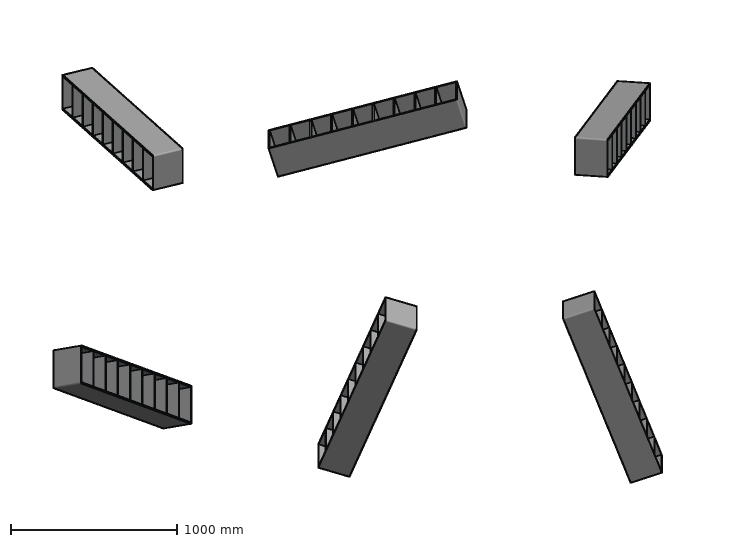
import cadquery as cq

length = 1185.0
depth = 200.0
height = 238.0

wall = 10.0
corner_radius = wall
cell_count = 9

cell_width = (length - (cell_count + 1) * wall) / cell_count
cell_height = height - 2 * wall
cell_pitch = cell_width + wall
cell_centers = [((i - (cell_count - 1) / 2) * cell_pitch, 0) for i in range(cell_count)]

body = cq.Workplane("XY").box(length, depth, height).edges("|Y").fillet(corner_radius)

cells = (
    cq.Workplane("XZ")
    .pushPoints(cell_centers)
    .rect(cell_width, cell_height)
    .extrude(depth, both=True)
)

result = body.cut(cells)